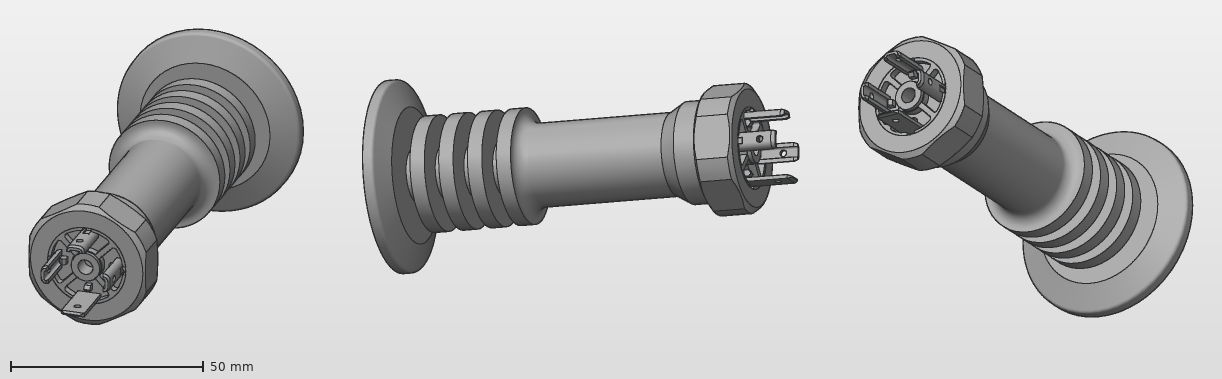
import cadquery as cq
import math

total_length = 110.5

flange_radius = 50.5 / 2
flange_face_radius = 17.9
flange_end = 5.4
flange_cone_angle = 20.0
flange_rim_fillet = 1.0

neck_radius = 14.0 / 2
fin_radius = 30.5 / 2
fin_count = 4
fin_thickness = 4.0
fin_pitch = 8.0
first_fin_start = 9.5
last_fin_end = first_fin_start + (fin_count - 1) * fin_pitch + fin_thickness

tube_radius = 22.0 / 2
tube_fillet = 3.3
tube_end = 77.5
collar_radius = 27.0 / 2
collar_start = 81.8

nut_start = 88.1
nut_end = 98.7
nut_across_flats = 32.0
nut_corner_radius = 17.0
nut_face_radius = 15.5
nut_bevel_length = 1.0

insert_radius = 21.5 / 2
insert_recess = 0.1
pocket_outer_radius = 10.0
core_radius = 4.2
pocket_depth = 2.2
pocket_floor = nut_end - pocket_depth
pocket_corner_radius = 0.8
spoke_width = 1.5
key_slot_width = 2.3
hub_radius = 7.8 / 2
hub_end = 99.7
hub_hole_diameter = 4.1
hub_hole_depth = 5.0

contact_outer_offset = 9.5
contact_hole_diameter = 1.8
contact_overlap = 0.5
channel_width = 5.0
channel_depth = 2.0
channel_wall = 1.1
channel_corner_radius = 1.7
channel_end = 108.3
channel_hole_place = 104.2
contact_tip_length = 1.0
channel_tip_inset = 0.3
web_notch_width = channel_width - 2 * channel_corner_radius
web_notch_depth = 0.4
web_notch_end = 99.3
blade_width = 6.3
blade_thickness = 1.0
blade_hole_place = 105.9
blade_tip_edge_inset = 0.3

peg_inner_offset = 5.9
peg_outer_offset = 7.5
peg_ridge_offset = 6.9
peg_width = 1.7
peg_gable_height = 0.7

side_angles = (0, 90, 180, 270)


def plane_at(distance):
    """Workplane across the axis, looking towards the plug; local axes are X and Z."""
    return cq.Workplane("XZ").workplane(offset=distance)


def rod(radius, start, end):
    return plane_at(start).circle(radius).extrude(end - start)


def turned(angle, shape):
    return shape.rotate((0, 0, 0), (0, 1, 0), angle)


def turned_body():
    cone_length = (flange_radius - flange_face_radius) * math.tan(math.radians(flange_cone_angle))
    rim_end = flange_end - cone_length
    flange = (
        cq.Workplane("XY")
        .moveTo(0, 0)
        .lineTo(flange_radius, 0)
        .lineTo(flange_radius, -rim_end)
        .lineTo(flange_face_radius, -flange_end)
        .lineTo(0, -flange_end)
        .close()
        .revolve(360, (0, 0, 0), (0, 1, 0))
        .edges(cq.selectors.NearestToPointSelector((0, -rim_end, 0)))
        .fillet(flange_rim_fillet)
    )
    tube = (
        cq.Workplane("XY")
        .moveTo(0, -last_fin_end)
        .lineTo(tube_radius + tube_fillet, -last_fin_end)
        .radiusArc((tube_radius, -last_fin_end - tube_fillet), -tube_fillet)
        .lineTo(tube_radius, -tube_end)
        .lineTo(collar_radius, -collar_start)
        .lineTo(collar_radius, -nut_start)
        .lineTo(0, -nut_start)
        .close()
        .revolve(360, (0, 0, 0), (0, 1, 0))
    )
    body = flange.union(rod(neck_radius, flange_end, last_fin_end)).union(tube)
    for index in range(fin_count):
        fin_start = first_fin_start + index * fin_pitch
        body = body.union(rod(fin_radius, fin_start, fin_start + fin_thickness))
    return body


def nut():
    across_corners = nut_across_flats / math.cos(math.pi / 6)
    hexagon = plane_at(nut_start).polygon(6, across_corners).extrude(nut_end - nut_start)
    hexagon = turned(30, hexagon)
    bevelled_rod = (
        rod(nut_corner_radius, nut_start, nut_end)
        .faces("<Y or >Y")
        .chamfer(nut_bevel_length, nut_corner_radius - nut_face_radius)
    )
    return hexagon.intersect(bevelled_rod)


def insert_pockets():
    """Four sector pockets around a round core, each with a key slot in its outer wall."""
    pockets = rod(pocket_outer_radius, pocket_floor, nut_end)
    spoke = plane_at(pocket_floor).rect(spoke_width, 2 * insert_radius).extrude(pocket_depth)
    for angle in (45, 135):
        pockets = pockets.cut(turned(angle, spoke))
    pockets = pockets.edges("|Y").fillet(pocket_corner_radius)
    pockets = pockets.cut(rod(core_radius, pocket_floor, nut_end))

    slot_length = insert_radius - pocket_outer_radius + contact_overlap
    slot = (
        plane_at(pocket_floor)
        .center(0, insert_radius - slot_length / 2)
        .rect(key_slot_width, slot_length)
        .extrude(pocket_depth)
        .intersect(rod(insert_radius, pocket_floor, nut_end))
    )
    for angle in side_angles:
        pockets = pockets.union(turned(angle, slot))
    return pockets


def channel_contact():
    """U-shaped contact above the axis, open towards the axis."""
    start = pocket_floor - contact_overlap
    center_offset = contact_outer_offset - channel_depth / 2
    tip_start = channel_end - contact_tip_length
    tip_taper = math.degrees(math.atan(channel_tip_inset / contact_tip_length))

    def bar_outline(distance):
        half_width = channel_width / 2
        flat_half = half_width - channel_corner_radius
        shoulder = contact_outer_offset - channel_corner_radius
        leg_end = contact_outer_offset - channel_depth
        return (
            plane_at(distance)
            .moveTo(-half_width, leg_end)
            .lineTo(-half_width, shoulder)
            .radiusArc((-flat_half, contact_outer_offset), channel_corner_radius)
            .lineTo(flat_half, contact_outer_offset)
            .radiusArc((half_width, shoulder), channel_corner_radius)
            .lineTo(half_width, leg_end)
            .close()
        )

    bar = bar_outline(start).extrude(tip_start - start)
    tip = bar_outline(tip_start).extrude(contact_tip_length, taper=tip_taper)
    groove = (
        plane_at(start)
        .center(0, center_offset - channel_wall)
        .rect(channel_width - 2 * channel_wall, channel_depth)
        .extrude(channel_end - start)
        .edges("|Y and >Z")
        .fillet(channel_corner_radius - channel_wall)
    )
    hole = (
        cq.Workplane("XY")
        .center(0, -channel_hole_place)
        .circle(contact_hole_diameter / 2)
        .extrude(contact_outer_offset)
    )
    notch = (
        plane_at(pocket_floor)
        .center(0, contact_outer_offset)
        .rect(web_notch_width, 2 * web_notch_depth)
        .extrude(web_notch_end - pocket_floor)
    )
    return bar.union(tip).cut(groove).cut(hole).cut(notch)


def blade_contact():
    """Flat contact below the axis, with its tip bevelled on all sides."""
    start = pocket_floor - contact_overlap
    tip_start = total_length - contact_tip_length
    center_offset = contact_outer_offset - blade_thickness / 2

    def outline(width, thickness, distance):
        return plane_at(distance).center(0, -center_offset).rect(width, thickness)

    blade = outline(blade_width, blade_thickness, start).extrude(tip_start - start)
    tip = (
        outline(blade_width, blade_thickness, tip_start)
        .workplane(offset=contact_tip_length)
        .rect(blade_width - 2 * contact_tip_length, blade_thickness - 2 * blade_tip_edge_inset)
        .loft()
    )
    hole = (
        cq.Workplane("XY")
        .center(0, -blade_hole_place)
        .circle(contact_hole_diameter / 2)
        .extrude(-contact_outer_offset)
    )
    return blade.union(tip).cut(hole)


def latch_peg():
    return (
        cq.Workplane("YZ")
        .moveTo(-pocket_floor + contact_overlap, peg_inner_offset)
        .lineTo(-nut_end + peg_gable_height, peg_inner_offset)
        .lineTo(-nut_end, peg_ridge_offset)
        .lineTo(-nut_end + peg_gable_height, peg_outer_offset)
        .lineTo(-pocket_floor + contact_overlap, peg_outer_offset)
        .close()
        .extrude(peg_width / 2, both=True)
    )


result = turned_body().union(nut())
result = result.cut(rod(insert_radius, nut_end - insert_recess, nut_end)).cut(insert_pockets())
result = result.union(rod(hub_radius, pocket_floor, hub_end))
result = result.cut(rod(hub_hole_diameter / 2, hub_end - hub_hole_depth, hub_end))
for side_angle in side_angles:
    result = result.union(turned(side_angle, latch_peg()))
for contact_angle in (-90, 0, 90):
    result = result.union(turned(contact_angle, channel_contact()))
result = result.union(blade_contact())